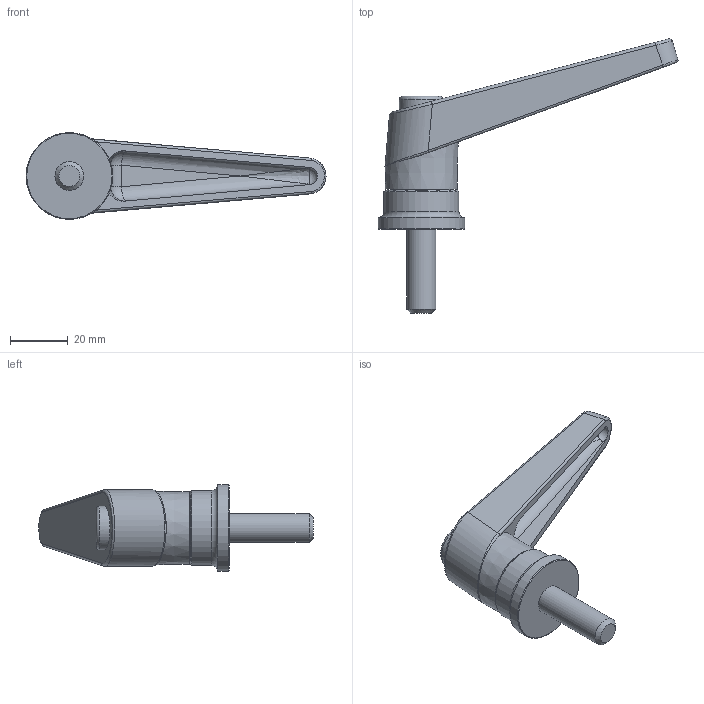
import cadquery as cq
import math


stud_radius = 5.0
stud_length = 29.0
stud_chamfer = 1.4
flange_radius = 15.0
flange_thickness = 4.0
flange_edge_chamfer = 0.25
collar_radius = 13.0
collar_fillet = flange_radius - collar_radius
collar_top_y = 13.5
collar_chamfer = 0.5
neck_radius = 10.0

hub_bottom_y = 13.8
hub_bottom_radius = 12.45
hub_top_radius = 12.8
hub_top_y = 32.0

button_radius = 7.6
button_top_y = 46.0
button_fillet = 1.2

head_radius = 13.25
head_lean = 5.0
arm_taper = 5.15
top_slope = 14.8
top_height = 43.25
bottom_slope = 20.0
bottom_height = 25.6
nose_top_x = 80.7
nose_bottom_x = 83.65
top_edge_fillet = 1.0
bottom_edge_fillet = 0.8

roof_thickness = 3.4
pocket_start = 11.9
pocket_nose = 78.8
pocket_nose_radius = 3.0
pocket_fillet = 5.0
pocket_ridge_fillet = 2.9
pocket_half_width = 9.2

reach = 120.0
touch_tolerance = 1e-6
pocket_ridge_search = 8.0

lean = math.radians(head_lean)
taper = math.radians(arm_taper)
pocket_wall_taper = (pocket_half_width - pocket_nose_radius) / (pocket_nose - pocket_start)

lengthwise = cq.Plane(origin=(0, 0, 0), xDir=(0, 0, 1), normal=(-1, 0, 0))

leaning_plane = cq.Plane(
    origin=(0, hub_bottom_y, 0),
    xDir=(math.cos(lean), -math.sin(lean), 0),
    normal=(math.sin(lean), math.cos(lean), 0),
)


def top_y(x):
    return top_height + x * math.tan(math.radians(top_slope))


def bottom_y(x):
    return bottom_height + x * math.tan(math.radians(bottom_slope))


def side_z(x, y):
    """Half width of the arm at a point of its flat side."""
    across = x * math.cos(lean) - (y - hub_bottom_y) * math.sin(lean)
    return (head_radius - across * math.sin(taper)) / math.cos(taper)


def make_base():
    profile = (
        cq.Workplane(lengthwise)
        .moveTo(0, -stud_length)
        .lineTo(stud_radius - stud_chamfer, -stud_length)
        .lineTo(stud_radius, stud_chamfer - stud_length)
        .lineTo(stud_radius, 0)
        .lineTo(flange_radius - flange_edge_chamfer, 0)
        .lineTo(flange_radius, flange_edge_chamfer)
        .lineTo(flange_radius, flange_thickness)
        .radiusArc((collar_radius, flange_thickness + collar_fillet), collar_fillet)
        .lineTo(collar_radius, collar_top_y - collar_chamfer)
        .lineTo(collar_radius - collar_chamfer, collar_top_y)
        .lineTo(neck_radius, collar_top_y)
        .lineTo(neck_radius, hub_bottom_y)
        .lineTo(0, hub_bottom_y)
        .close()
    )
    return profile.revolve(360, (0, 0, 0), (0, 1, 0))


def make_nose():
    """Round end of the arm, ruled between an arc in each sloping plane."""
    arcs = []
    for x, height, slope in (
        (nose_top_x, top_y, top_slope),
        (nose_bottom_x, bottom_y, bottom_slope),
    ):
        half = side_z(x, height(x))
        depth = half * (1 - math.sin(taper)) / math.cos(taper)
        tip_x = x + depth * math.cos(math.radians(slope))
        start = cq.Vector(x, height(x), -half)
        tip = cq.Vector(tip_x, height(tip_x), 0)
        end = cq.Vector(x, height(x), half)
        arc = cq.Edge.makeThreePointArc(start, tip, end)
        arcs.append(cq.Wire.assembleEdges([arc, cq.Edge.makeLine(end, start)]))
    return cq.Solid.makeLoft(arcs, True)


def make_arm():
    head_tangent_x = head_radius * math.sin(taper)
    head_tangent_z = head_radius * math.cos(taper)
    far_z = (head_radius - reach * math.sin(taper)) / math.cos(taper)
    outline = (
        cq.Workplane(leaning_plane)
        .moveTo(head_tangent_x, head_tangent_z)
        .radiusArc((-head_radius, 0), -head_radius)
        .radiusArc((head_tangent_x, -head_tangent_z), -head_radius)
        .lineTo(reach, -far_z)
        .lineTo(reach, far_z)
        .close()
        .extrude(reach, both=True)
    )
    back_x = -2 * head_radius
    slope_blank = (
        cq.Workplane("XY")
        .moveTo(back_x, bottom_y(back_x))
        .lineTo(nose_bottom_x, bottom_y(nose_bottom_x))
        .lineTo(nose_top_x, top_y(nose_top_x))
        .lineTo(back_x, top_y(back_x))
        .close()
        .extrude(2 * head_radius, both=True)
    )
    arm = outline.intersect(slope_blank).union(cq.Workplane(make_nose()))
    for slope, fillet in ((top_slope, top_edge_fillet), (bottom_slope, bottom_edge_fillet)):
        angle = math.radians(slope)
        normal = cq.Vector(-math.sin(angle), math.cos(angle), 0)
        arm = arm.faces(cq.selectors.ParallelDirSelector(normal)).edges().fillet(fillet)
    return arm


def make_hub():
    """Lower hub, cut off just inside the underside of the arm."""
    cone = (
        cq.Workplane(lengthwise)
        .moveTo(0, hub_bottom_y)
        .lineTo(hub_bottom_radius, hub_bottom_y)
        .lineTo(hub_top_radius, hub_top_y)
        .lineTo(0, hub_top_y)
        .close()
        .revolve(360, (0, 0, 0), (0, 1, 0))
    )
    end_x = 2 * head_radius
    below_arm = (
        cq.Workplane("XY")
        .moveTo(-end_x, 0)
        .lineTo(end_x, 0)
        .lineTo(end_x, bottom_y(end_x) + bottom_edge_fillet)
        .lineTo(-end_x, bottom_y(-end_x) + bottom_edge_fillet)
        .close()
        .extrude(end_x, both=True)
    )
    return cone.intersect(below_arm)


def make_button():
    foot_y = bottom_height + head_radius / 2
    button = cq.Workplane("XZ", origin=(0, foot_y, 0)).circle(button_radius).extrude(foot_y - button_top_y)
    return button.faces(">Y").edges().fillet(button_fillet)


def pocket_floor_y(x):
    return top_y(x) - roof_thickness / math.cos(math.radians(top_slope))


def wall_z(across):
    """Half width of the pocket at a distance across the lean."""
    return pocket_nose_radius + (pocket_nose - across) * pocket_wall_taper


def make_pocket_side():
    """Blank bounded by one pocket wall, the end wall and the floor, with their shared edges rounded."""
    blank = (
        cq.Workplane(leaning_plane)
        .moveTo(pocket_start, -reach)
        .lineTo(pocket_start, wall_z(pocket_start))
        .lineTo(pocket_nose, wall_z(pocket_nose))
        .lineTo(pocket_nose, -reach)
        .close()
        .extrude(reach)
    )
    below_floor = (
        cq.Workplane("XY")
        .lineTo(reach, 0)
        .lineTo(reach, pocket_floor_y(reach))
        .lineTo(0, pocket_floor_y(0))
        .close()
        .extrude(reach, both=True)
    )
    side = blank.intersect(below_floor)
    corner = min(side.vertices().vals(), key=lambda v: v.X - v.Y + v.Z)
    touching = [edge for edge in side.edges().vals() if corner.distance(edge) < touch_tolerance]
    return side.newObject(touching).fillet(pocket_fillet)


def make_pocket_nose():
    """Half of a round-ended pin, leaning with the head, that closes the narrow end of the pocket."""
    foot_x = pocket_nose * math.cos(lean)
    foot_y = hub_bottom_y - pocket_nose * math.sin(lean)
    slope_ratio = math.tan(lean) * math.tan(math.radians(top_slope))
    floor_rise = (pocket_floor_y(foot_x) - foot_y) / (1 - slope_ratio)
    floor_length = floor_rise / math.cos(lean)
    ball_center = floor_length - pocket_fillet / math.cos(math.radians(top_slope + head_lean))
    half_section = cq.Plane(
        origin=(foot_x, foot_y, 0),
        xDir=(0, 0, 1),
        normal=(-math.cos(lean), math.sin(lean), 0),
    )
    return (
        cq.Workplane(half_section)
        .lineTo(pocket_nose_radius, 0)
        .lineTo(pocket_nose_radius, ball_center)
        .radiusArc((0, ball_center + pocket_nose_radius), -pocket_nose_radius)
        .close()
        .revolve(180, (0, 0, 0), (0, 1, 0))
    )


def make_pocket():
    side = make_pocket_side()
    pocket = side.intersect(side.mirror("XY"))
    ridge_x = pocket_nose - pocket_ridge_search
    ridge_point = (ridge_x, pocket_floor_y(ridge_x), 0)
    ridge = pocket.edges(cq.selectors.NearestToPointSelector(ridge_point))
    return ridge.fillet(pocket_ridge_fillet).union(make_pocket_nose())


base = make_base()
handle = make_arm().cut(make_pocket()).union(make_hub()).union(make_button())
result = cq.Compound.makeCompound([base.val(), handle.val()])